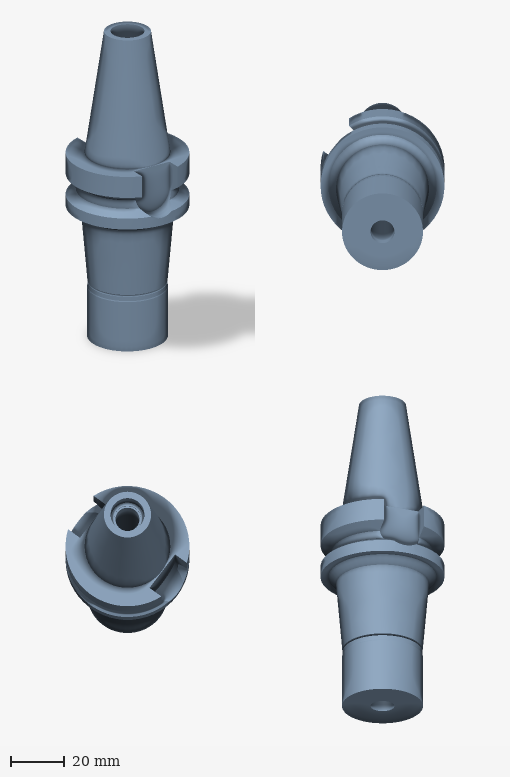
import cadquery as cq

total_height = 123.4
gauge_z = 74.8
flange_top_z = 74.3
upper_rim_bottom_z = 65.8
groove_top_z = 63.0
groove_bottom_z = 59.7
lower_rim_top_z = 57.4
lower_rim_bottom_z = 53.0
body_top_z = 50.0
body_bottom_z = 22.8
nut_height = 22.1

taper_tip_radius = 8.8
gauge_radius = 15.9
flange_diameter = 46.0
flange_radius = flange_diameter / 2
groove_top_radius = 18.9
groove_bottom_radius = 19.3
collar_top_radius = 20.1
body_top_radius = 17.3
body_bottom_radius = 14.9
neck_radius = 11.5

slot_width = 15.9
slot_floor_spacing = 32.2
slot_floor_x = slot_floor_spacing / 2
slot_bottom_z = 56.0

bore_radius = 4.5
counterbore_radius = 6.3
counterbore_depth = 6.9
seat_radius = 5.0
seat_depth = 0.5

nut_radius = 15.0
nut_collar_radius = body_bottom_radius
nut_collar_bottom_z = 20.4
nut_shoulder_height = 0.4


def revolve_profile(points):
    """Revolve a closed (radius, height) outline about the Z axis."""
    return cq.Workplane("XZ").polyline(points).close().revolve(360, (0, 0), (0, 1))


def drive_slot(side):
    """Round-bottomed slot cutter, open at the flange top; side is +1 or -1."""
    slot_radius = slot_width / 2
    center_z = slot_bottom_z + slot_radius
    cut_depth = flange_radius - slot_floor_x
    return (
        cq.Workplane("YZ", origin=(side * slot_floor_x, 0, 0))
        .moveTo(-slot_radius, flange_top_z)
        .lineTo(-slot_radius, center_z)
        .threePointArc((0, slot_bottom_z), (slot_radius, center_z))
        .lineTo(slot_radius, flange_top_z)
        .close()
        .extrude(side * cut_depth)
    )


def make_holder():
    """Tapered shank, grooved flange, body and neck, with the stepped bore."""
    seat_top_z = total_height - counterbore_depth
    seat_bottom_z = seat_top_z - seat_depth
    holder = revolve_profile([
        (bore_radius, nut_height),
        (neck_radius, nut_height),
        (neck_radius, body_bottom_z),
        (body_bottom_radius, body_bottom_z),
        (body_top_radius, body_top_z),
        (collar_top_radius, lower_rim_bottom_z),
        (flange_radius, lower_rim_bottom_z),
        (flange_radius, lower_rim_top_z),
        (groove_bottom_radius, groove_bottom_z),
        (groove_top_radius, groove_top_z),
        (flange_radius, upper_rim_bottom_z),
        (flange_radius, flange_top_z),
        (gauge_radius, flange_top_z),
        (gauge_radius, gauge_z),
        (taper_tip_radius, total_height),
        (counterbore_radius, total_height),
        (counterbore_radius, seat_top_z),
        (seat_radius, seat_top_z),
        (seat_radius, seat_bottom_z),
        (bore_radius, seat_bottom_z),
    ])
    for side in (-1, 1):
        holder = holder.cut(drive_slot(side))
    return holder


def make_nut():
    """Bored round nut with a slightly narrower collar above a sloped shoulder."""
    return revolve_profile([
        (bore_radius, 0),
        (nut_radius, 0),
        (nut_radius, nut_collar_bottom_z - nut_shoulder_height),
        (nut_collar_radius, nut_collar_bottom_z),
        (nut_collar_radius, nut_height),
        (bore_radius, nut_height),
    ])


holder = make_holder()
nut = make_nut()
result = cq.Compound.makeCompound([holder.val(), nut.val()])